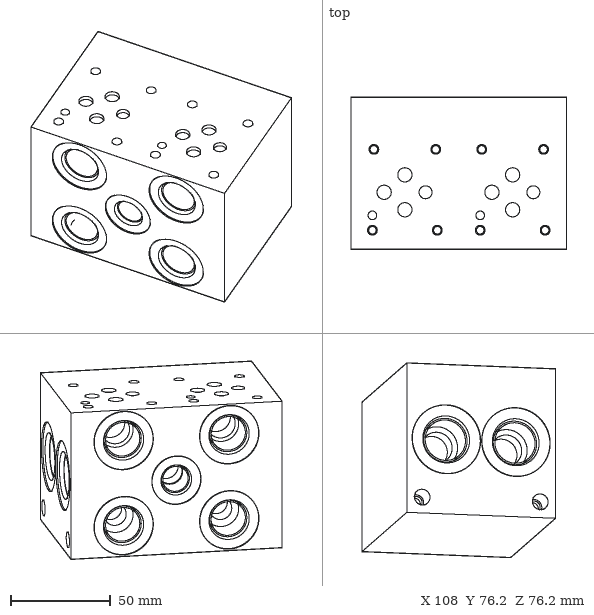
import cadquery as cq
import math

LENGTH = 108.0
DEPTH = 76.2
HEIGHT = 76.2

POINT_ANGLE = 118.0
SPOTFACE_DEPTH = 0.8
PORT_CHAMFER_DEPTH = 2.0

PORT_PITCH = 54.0
FRONT_ROW_OFFSET = 22.1
FRONT_SPOTFACE = 30.2
FRONT_MOUTH = 20.6
FRONT_MAJOR = 19.0
FRONT_BORE = 17.5
FRONT_BORE_DEPTH = 19.4
UPPER_DRILL = 14.4
LOWER_DRILL = 11.2
FRONT_DRILL_DEPTH = 32.4

CENTRE_SPOTFACE = 25.0
CENTRE_MOUTH = 15.7
CENTRE_MAJOR = 14.2
CENTRE_BORE = 13.0
CENTRE_DRILL = 12.3
CENTRE_BORE_DEPTH = 16.2
CENTRE_DRILL_DEPTH = 25.9

END_PORT_OFFSET = 17.8
END_SPOTFACE = 35.0
END_MOUTH = 24.0
END_MAJOR = 22.2
END_BORE = 20.6
END_BORE_DEPTH = 21.6
END_DRILL = 15.7
END_DRILL_DEPTH = 34.5

END_TAP_OFFSET = 30.2
END_TAP_HEIGHT = 8.1
END_TAP_MAJOR = 8.0
END_TAP_DRILL = 6.4
END_TAP_DEPTH = 15.1
END_TAP_DRILL_DEPTH = 19.4

BOLT_Y = 12.0
BOLT_SPAN = 40.5
UPPER_BOLT_PITCH = 31.0
LOWER_BOLT_PITCH = 32.5
BOLT_MAJOR = 4.9
BOLT_DRILL = 3.8
BOLT_DEPTH = 13.0
BOLT_DRILL_DEPTH = 16.2

VALVE_PORT_DROP = 21.5
VALVE_PORT_X = 10.4
VALVE_PORT_Y = 8.7
VALVE_PORT = 7.1
SMALL_VALVE_PORT = 6.5
VALVE_PORT_DEPTH = 2.2

PIN_DROP = 33.0
PIN = 4.3
PIN_DEPTH = 5.4


def point_depth(diameter):
    """Height of the drill point for a hole of the given diameter."""
    return diameter / 2 / math.tan(math.radians(POINT_ANGLE / 2))


def hole_cutter(profile):
    """Revolved cutter about Z, mouth at Z = 0 and going down, from (diameter, depth) corners.

    The last corner is closed with a drill point.
    """
    corners = [(diameter / 2, -depth) for diameter, depth in profile]
    last_diameter, last_depth = profile[-1]
    tip = (0, -last_depth - point_depth(last_diameter))
    outline = cq.Workplane("XZ").polyline([(0, 0)] + corners + [tip]).close()
    return outline.revolve(360, (0, 0, 0), (0, 1, 0))


def drilled_hole(diameter, depth):
    return hole_cutter([(diameter, 0), (diameter, depth)])


def stepped_hole(mouth_profile, bore, bore_depth, drill, drill_depth):
    """Bore with a conical shoulder leading into a narrower drilled hole."""
    shoulder_depth = bore_depth + point_depth(bore) - point_depth(drill)
    return hole_cutter(
        mouth_profile + [(bore, bore_depth), (drill, shoulder_depth), (drill, drill_depth)]
    )


def threaded_port(spotface, mouth, major, bore, bore_depth, drill, drill_depth):
    """Spotfaced port with a chamfered mouth and a step from thread major to bore diameter."""
    chamfer_end = SPOTFACE_DEPTH + PORT_CHAMFER_DEPTH
    mouth_profile = [
        (spotface, 0),
        (spotface, SPOTFACE_DEPTH),
        (mouth, SPOTFACE_DEPTH),
        (major, chamfer_end),
        (bore, chamfer_end),
    ]
    return stepped_hole(mouth_profile, bore, bore_depth, drill, drill_depth)


def tapped_hole(major, thread_depth, drill, drill_depth):
    return hole_cutter([(major, 0), (major, thread_depth), (drill, thread_depth), (drill, drill_depth)])


def cut_front(body, cutter, x, z):
    """Sink a cutter into the -Y face."""
    turned = cutter.rotate((0, 0, 0), (1, 0, 0), 90)
    return body.cut(turned.translate((x, -DEPTH / 2, z)))


def cut_end(body, cutter, y, z):
    """Sink a cutter into the -X face."""
    turned = cutter.rotate((0, 0, 0), (0, 1, 0), -90)
    return body.cut(turned.translate((-LENGTH / 2, y, z)))


def cut_top(body, cutter, x, y):
    """Sink a cutter into the +Z face."""
    return body.cut(cutter.translate((x, y, HEIGHT)))


result = cq.Workplane("XY").box(LENGTH, DEPTH, HEIGHT, centered=(True, True, False))

for side in (-1, 1):
    for row, drill in ((1, UPPER_DRILL), (-1, LOWER_DRILL)):
        port = threaded_port(
            FRONT_SPOTFACE, FRONT_MOUTH, FRONT_MAJOR, FRONT_BORE, FRONT_BORE_DEPTH, drill, FRONT_DRILL_DEPTH
        )
        result = cut_front(result, port, side * PORT_PITCH / 2, HEIGHT / 2 + row * FRONT_ROW_OFFSET)

centre_port = threaded_port(
    CENTRE_SPOTFACE,
    CENTRE_MOUTH,
    CENTRE_MAJOR,
    CENTRE_BORE,
    CENTRE_BORE_DEPTH,
    CENTRE_DRILL,
    CENTRE_DRILL_DEPTH,
)
result = cut_front(result, centre_port, 0, HEIGHT / 2)

end_port = threaded_port(
    END_SPOTFACE, END_MOUTH, END_MAJOR, END_BORE, END_BORE_DEPTH, END_DRILL, END_DRILL_DEPTH
)
end_tap = tapped_hole(END_TAP_MAJOR, END_TAP_DEPTH, END_TAP_DRILL, END_TAP_DRILL_DEPTH)
for side in (-1, 1):
    result = cut_end(result, end_port, side * END_PORT_OFFSET, HEIGHT / 2)
    result = cut_end(result, end_tap, side * END_TAP_OFFSET, END_TAP_HEIGHT)

bolt = tapped_hole(BOLT_MAJOR, BOLT_DEPTH, BOLT_DRILL, BOLT_DRILL_DEPTH)
valve_port = drilled_hole(VALVE_PORT, VALVE_PORT_DEPTH)
small_valve_port = drilled_hole(SMALL_VALVE_PORT, VALVE_PORT_DEPTH)
pin = drilled_hole(PIN, PIN_DEPTH)
lower_bolt_y = BOLT_Y - BOLT_SPAN
diamond_y = BOLT_Y - VALVE_PORT_DROP

for station_x in (-PORT_PITCH / 2, PORT_PITCH / 2):
    for side in (-1, 1):
        result = cut_top(result, bolt, station_x + side * UPPER_BOLT_PITCH / 2, BOLT_Y)
        result = cut_top(result, bolt, station_x + side * LOWER_BOLT_PITCH / 2, lower_bolt_y)
        result = cut_top(result, valve_port, station_x, diamond_y + side * VALVE_PORT_Y)
    result = cut_top(result, valve_port, station_x - VALVE_PORT_X, diamond_y)
    result = cut_top(result, small_valve_port, station_x + VALVE_PORT_X, diamond_y)
    result = cut_top(result, pin, station_x - LOWER_BOLT_PITCH / 2, BOLT_Y - PIN_DROP)